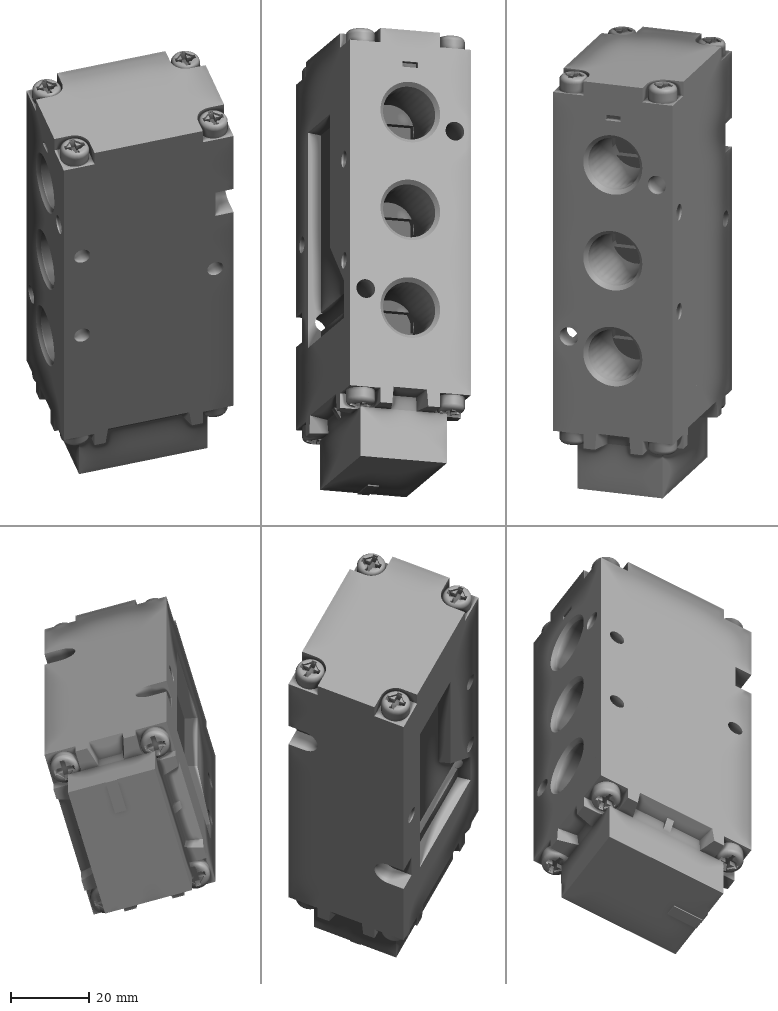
import cadquery as cq
width = 32.5
depth = 45.5
total_height = 112.9

rib_height = 0.3
rib_width = 3.0
rib_length = 8.7
connector_width = 23.1
connector_depth = 34.4
connector_bottom = rib_height
connector_top = 13.4

bottom_cover_height = 13.9
top_cover_height = 9.8
housing_bottom = connector_top + bottom_cover_height
housing_top = total_height - top_cover_height
housing_middle = (housing_bottom + housing_top) / 2

left_face = -width / 2
front_face = -depth / 2
back_face = depth / 2

screw_inset = 4.2
screw_recess_radius = 4.1
screw_recess_depth = 3.8
screw_head_radius = 3.7
screw_head_round = 1.4
cross_length = 5.4
cross_floor_length = 4.1
cross_width = 1.4
cross_depth = 2.3
cross_diamond_depth = 0.7

cover_slot_width = 4.1
cover_slot_height = 1.5
cover_slot_depth = 1.7

front_notch_height = 4.4
side_notch_height = 4.6
notch_inner_height = 3.5
notch_floor_lean = 0.5
notch_side_draft = 1.5
front_notch_depth = (depth - connector_depth) / 2
side_notch_depth = (width - connector_width) / 2
front_notch_bottom_width = 9.7
front_notch_top_width = 8.9
side_notch_bottom_width = 23.1
side_notch_top_width = 21.8
latch_width = 2.0
latch_bottom = 0.8
latch_reach = 2.5

port_spacing = 26.0
port_throat_radius = 7.0
port_floor_radius = 6.7
port_mouth_radius = 8.0
port_depth = 18.1
passage_spacing = 24.8
passage_width = 12.9
passage_height = 5.4
passage_depth = 2.3

mount_hole_radius = 2.5
mount_hole_x = 12.0
mount_hole_offset = 21.9
mount_seat_radius = 4.0
mount_seat_depth = 4.9

cross_hole_radius = 2.1
cross_hole_y = 17.8
cross_hole_offset = 13.4

pocket_back = 12.9
pocket_step = -5.9
pocket_front = -17.8
pocket_bottom = 36.5
pocket_shoulder = 46.4
pocket_top = 93.7
pocket_depth = 3.2
pocket_draft_y = 1.0
pocket_draft_z = 0.73


def block(x_size, y_size, z_bottom, z_top):
    """A box centred on the Z axis between two heights."""
    height = z_top - z_bottom
    return cq.Workplane("XY").box(x_size, y_size, height, centered=(True, True, False)).translate(
        (0, 0, z_bottom)
    )


def screw_recess():
    """Corner pocket for a screw at the origin, open towards +X and +Y."""
    reach = 2 * screw_inset
    size = screw_recess_radius + reach
    pocket = (
        cq.Workplane("XY")
        .box(size, size, screw_recess_depth, centered=False)
        .translate((-screw_recess_radius, -screw_recess_radius, 0))
    )
    return pocket.edges("|Z and <X and <Y").fillet(screw_recess_radius * 0.999)


def screw_head():
    """Screw head standing on Z = 0, with a cross recess in its rounded top."""
    head = (
        cq.Workplane("XY")
        .circle(screw_head_radius)
        .extrude(screw_recess_depth)
        .faces(">Z")
        .edges()
        .fillet(screw_head_round)
    )
    top = cq.Workplane("XY").workplane(offset=screw_recess_depth)
    floor = screw_recess_depth - cross_depth
    slot_x = (
        cq.Workplane("XZ")
        .moveTo(-cross_length / 2, screw_recess_depth)
        .lineTo(cross_length / 2, screw_recess_depth)
        .lineTo(cross_floor_length / 2, floor)
        .lineTo(-cross_floor_length / 2, floor)
        .close()
        .extrude(cross_width / 2, both=True)
    )
    slot_y = slot_x.rotate((0, 0, 0), (0, 0, 1), 90)
    diamond = top.polygon(4, cross_length).extrude(-cross_diamond_depth)
    return head.cut(slot_x).cut(slot_y).cut(diamond)


def add_top_screws(cover, top):
    """Sink a screw into each upper corner of a cover, flush with its top."""
    for x_sign in (-1, 1):
        for y_sign in (-1, 1):
            place = (
                x_sign * (width / 2 - screw_inset),
                y_sign * (depth / 2 - screw_inset),
                top - screw_recess_depth,
            )
            recess = screw_recess()
            if x_sign < 0:
                recess = recess.mirror("YZ")
            if y_sign < 0:
                recess = recess.mirror("XZ")
            cover = cover.cut(recess.translate(place)).union(screw_head().translate(place))
    return cover


def make_top_cover():
    cover = add_top_screws(block(width, depth, housing_top, total_height), total_height)
    slot = block(cover_slot_width, 2 * cover_slot_depth, housing_top, housing_top + cover_slot_height)
    return cover.cut(slot.translate((0, front_face, 0)))


def notch_tool(bottom_width, top_width, notch_height, notch_depth):
    """Tapered notch cutting towards +Y from Y = 0, with its lower edge at Z = 0."""
    def section(inset):
        low = bottom_width / 2 - inset
        high = top_width / 2 - inset
        return [(-low, 0), (low, 0), (high, notch_height), (-high, notch_height)]

    walls = (
        cq.Workplane("XZ")
        .polyline(section(0)).close()
        .workplane(offset=-notch_depth)
        .polyline(section(notch_side_draft)).close()
        .loft(ruled=True)
    )
    profile = (
        cq.Workplane("YZ")
        .moveTo(0, 0)
        .lineTo(notch_depth, 0)
        .lineTo(notch_depth - notch_floor_lean, notch_inner_height)
        .lineTo(0, notch_height)
        .close()
        .extrude(bottom_width / 2, both=True)
    )
    return walls.intersect(profile)


def latch():
    """Wedge that fills the corner between the floor and the ceiling of a side notch."""
    return (
        cq.Workplane("YZ")
        .moveTo(side_notch_depth, latch_bottom)
        .lineTo(side_notch_depth - latch_reach, side_notch_height)
        .lineTo(side_notch_depth, side_notch_height)
        .close()
        .extrude(latch_width / 2, both=True)
    )


def make_bottom_cover():
    cover = add_top_screws(block(width, depth, -bottom_cover_height, 0), 0)
    cover = cover.rotate((0, 0, 0), (1, 0, 0), 180)

    front_notch = notch_tool(
        front_notch_bottom_width, front_notch_top_width, front_notch_height, front_notch_depth
    )
    side_notch = notch_tool(
        side_notch_bottom_width, side_notch_top_width, side_notch_height, side_notch_depth
    )
    side_notch = side_notch.cut(latch())
    for turn in (0, 180):
        front = front_notch.translate((0, front_face, 0)).rotate((0, 0, 0), (0, 0, 1), turn)
        side = side_notch.translate((0, left_face, 0)).rotate((0, 0, 0), (0, 0, 1), turn - 90)
        cover = cover.cut(front).cut(side)
    return cover.translate((0, 0, connector_top))


def make_connector():
    body = block(connector_width, connector_depth, connector_bottom, connector_top)
    rib = block(rib_width, rib_length, 0, connector_bottom)
    return body.union(rib.translate((0, (connector_depth - rib_length) / 2, 0)))


def port_tool(port_z, passage_z):
    """Tapered port bore with a chamfered mouth and a passage in its floor."""
    chamfer = port_mouth_radius - port_throat_radius
    profile = (
        cq.Workplane("XY")
        .moveTo(0, front_face)
        .lineTo(port_mouth_radius, front_face)
        .lineTo(port_throat_radius, front_face + chamfer)
        .lineTo(port_floor_radius, front_face + port_depth)
        .lineTo(0, front_face + port_depth)
        .close()
    )
    bore = profile.revolve(360, (0, 0, 0), (0, 1, 0)).translate((0, 0, port_z))
    floor_y = front_face + port_depth
    passage = cq.Workplane("XY").box(passage_width, 2 * passage_depth, passage_height)
    bore_outline = (
        cq.Workplane("XZ", origin=(0, front_face, port_z)).circle(port_floor_radius).extrude(-depth)
    )
    passage = passage.translate((0, floor_y, passage_z)).intersect(bore_outline)
    return bore.union(passage)


def mount_slot(radius, y_start, y_end):
    """Round-ended channel along Y around the lower mounting axis, open to the left face."""
    z = housing_middle - mount_hole_offset
    length = y_end - y_start
    start = cq.Workplane("XZ", origin=(-mount_hole_x, y_start, z))
    bore = start.circle(radius).extrude(-length)
    opening = width / 2 - mount_hole_x
    channel = start.center(-opening / 2, 0).rect(opening, 2 * radius).extrude(-length)
    return bore.union(channel)


def half_turn(tool):
    """The same tool turned half a revolution about the housing's Y axis."""
    return tool.rotate((0, 0, housing_middle), (0, 1, housing_middle), 180)


def pocket_outline(draft_y, draft_z):
    """Pocket outline as (Y, Z) points, moved inwards by the two drafts."""
    slope_drop = pocket_step - pocket_front
    back = pocket_back - draft_y
    step = pocket_step + draft_y
    front = pocket_front + draft_y
    return [
        (back, pocket_bottom + draft_z),
        (back, pocket_top - draft_z),
        (step, pocket_top - draft_z),
        (step, pocket_shoulder + slope_drop),
        (front, pocket_shoulder),
        (front, pocket_bottom + draft_z),
    ]


def pocket_tool():
    return (
        cq.Workplane("YZ", origin=(left_face, 0, 0))
        .polyline(pocket_outline(0, 0)).close()
        .workplane(offset=pocket_depth)
        .polyline(pocket_outline(pocket_draft_y, pocket_draft_z)).close()
        .loft(ruled=True)
    )


def make_housing():
    housing = block(width, depth, housing_bottom, housing_top)

    for step in (-1, 0, 1):
        port_z = housing_middle + step * port_spacing
        passage_z = housing_middle + step * passage_spacing
        housing = housing.cut(port_tool(port_z, passage_z))

    mount_z = housing_middle - mount_hole_offset
    mount_hole = (
        cq.Workplane("XZ", origin=(-mount_hole_x, front_face, mount_z))
        .circle(mount_hole_radius)
        .extrude(-depth)
    )
    seat = mount_slot(mount_seat_radius, back_face - mount_seat_depth, back_face)
    for tool in (mount_hole, seat):
        housing = housing.cut(tool).cut(half_turn(tool))

    cross_holes = (
        cq.Workplane("YZ", origin=(left_face, 0, housing_middle))
        .pushPoints(
            [
                (cross_hole_y, 0),
                (-cross_hole_y, cross_hole_offset),
                (-cross_hole_y, -cross_hole_offset),
            ]
        )
        .circle(cross_hole_radius)
        .extrude(width)
    )
    housing = housing.cut(cross_holes)

    floor_front = pocket_front + pocket_draft_y
    floor_back = pocket_back - pocket_draft_y
    groove = mount_slot(mount_hole_radius, floor_front, floor_back)
    return housing.cut(pocket_tool()).cut(groove)


housing = make_housing()
top_cover = make_top_cover()
bottom_cover = make_bottom_cover()
connector = make_connector()

result = cq.Compound.makeCompound(
    [housing.val(), top_cover.val(), bottom_cover.val(), connector.val()]
)